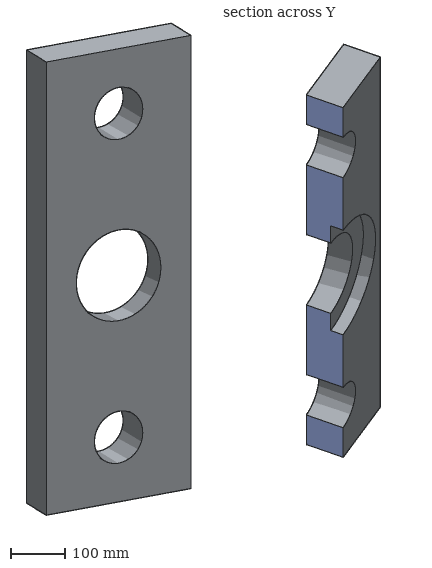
import cadquery as cq

thickness = 76.2
width = 304.8
height = 889.0

bore_diameter = 177.8
counterbore_diameter = 265.0
counterbore_depth = 25.4

end_hole_diameter = 101.6
end_hole_offset = 317.5


def cylinder_from_minus_x_face(diameter, depth, z=0.0):
    """Cylinder along +X that starts on the -X face, centred at height z."""
    return (
        cq.Workplane("YZ", origin=(-thickness / 2, 0, z))
        .circle(diameter / 2)
        .extrude(depth)
    )


plate = cq.Workplane("XY").box(thickness, width, height)

plate = plate.cut(cylinder_from_minus_x_face(bore_diameter, thickness))
plate = plate.cut(cylinder_from_minus_x_face(counterbore_diameter, counterbore_depth))

for side in (-1, 1):
    plate = plate.cut(cylinder_from_minus_x_face(end_hole_diameter, thickness, side * end_hole_offset))

result = plate